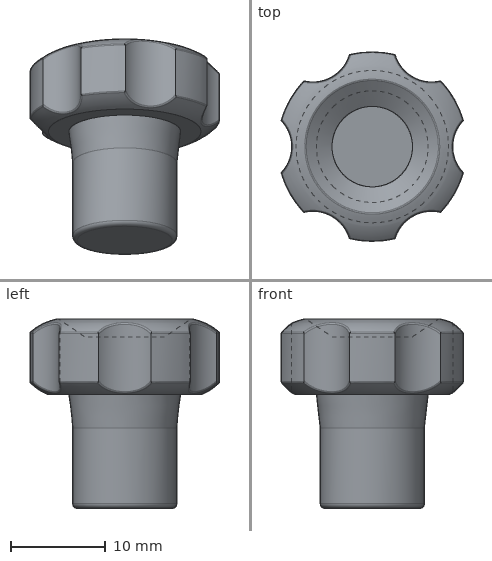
import cadquery as cq

head_base = 12.0
crest_height = 20.02

stem_radius = 5.5
stem_foot_round = 0.5
flare_start = 8.5
flare_radius = 5.9

head_radius = 10.0
shoulder_round = 6.0
crest_radius = 7.05
crown_height = 1.46
underside_flat_radius = 8.05
underside_height = 1.29
edge_round = 0.2

scallop_count = 6
scallop_radius = 4.0
scallop_floor_radius = 8.5

dish_floor_radius = 4.25
dish_depth = 1.9


def head():
    """Revolved head: convex shoulders above and below the band, dished top."""
    profile = (
        cq.Workplane("XZ")
        .moveTo(0, head_base)
        .lineTo(underside_flat_radius, head_base)
        .radiusArc((head_radius, head_base + underside_height), -shoulder_round)
        .lineTo(head_radius, crest_height - crown_height)
        .radiusArc((crest_radius, crest_height), -shoulder_round)
        .lineTo(dish_floor_radius, crest_height - dish_depth)
        .lineTo(0, crest_height - dish_depth)
        .close()
    )
    return profile.revolve(360, (0, 0, 0), (0, 1, 0))


def scallops():
    """Vertical cylinders that cut the finger grips, the first one on +X."""
    return (
        cq.Workplane("XY")
        .workplane(offset=head_base)
        .polarArray(scallop_floor_radius + scallop_radius, 0, 360, scallop_count)
        .circle(scallop_radius)
        .extrude(crest_height - head_base)
    )


def rounded_head():
    """Head with its crest rounded, then scalloped, then its outline rounded."""
    crested = head().edges(">Z").fillet(edge_round)
    scalloped = crested.cut(scallops())
    outlines = scalloped.faces("%CYLINDER").edges("not |Z")
    return outlines.fillet(edge_round)


def stem():
    """Cylinder with a rounded foot, flaring out where it meets the head."""
    shank = cq.Workplane("XY").circle(stem_radius).extrude(flare_start)
    shank = shank.faces("<Z").edges().fillet(stem_foot_round)
    flare = (
        cq.Workplane("XY")
        .workplane(offset=flare_start)
        .circle(stem_radius)
        .workplane(offset=head_base - flare_start)
        .circle(flare_radius)
        .loft()
    )
    return shank.union(flare)


result = rounded_head().union(stem())